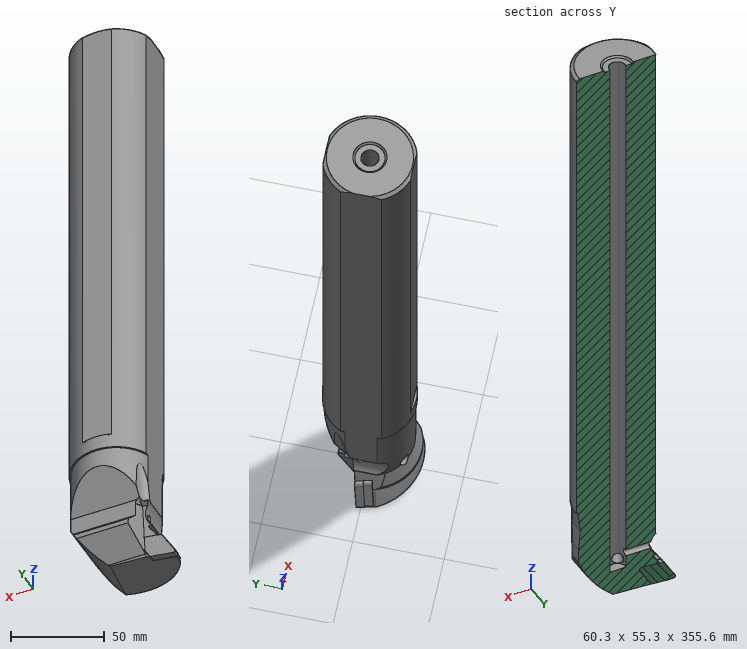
import cadquery as cq
import math


overall_length = 355.6
shank_radius = 25.4
shank_bottom_z = 64.5
side_flat_x = -22.86
clamp_flat_y = 23.9
clamp_flat_bottom_z = 73.4
top_chamfer_height = 1.4
top_chamfer_width = 2.1

neck_radius = 24.5
flare_top_z = 19.8
flare_bottom_z = 12.3
band_height = 1.7
flare_radius = 28.4
head_radius = 31.42
head_center = (-4.4, -0.64)
tip_offset = 34.91
pad_angle = 56.0
pad_setback = 0.7
flank_top = (23.9, 31.0)
flank_middle = (15.0, 14.5)
flank_bottom = (2.7, 2.0)
waist_top_z = 52.0
waist_x = 22.9
waist_bottom_z = 40.0

insert_angle = 55.0
lead_angle = 3.0
inscribed_circle = 12.7
insert_edge = inscribed_circle / math.sin(math.radians(insert_angle))
insert_thickness = 4.76
shim_thickness = 4.76
shim_setback = 0.5
nose_radius = 1.2
axial_slope = math.tan(math.radians(8.0))
radial_slope = math.tan(math.radians(6.0))
lead_slope = math.tan(math.radians(lead_angle))
underside_clearance = 0.3

gully_top = (26.0, 55.5)
gully_shoulder = (11.2, 34.2)
gully_waist = (10.1, 24.6)
wedge_top = (14.4, 20.0)
wedge_bottom = (14.4, 17.0)
gully_foot = (2.0, 3.0)
rake_pocket_width = 17.0
rake_pocket_top = 33.0
rake_pocket_taper = 30.0
relief_radius = 9.2
relief_center = (-28.9, 27.2)
flute_radius = 8.0
flute_start = cq.Vector(-27, 18.6, 58.5)
flute_end = cq.Vector(-27, 13, 33)

port_radius = 9.1
port_chamfer = 1.0
bore_radius = 4.8
bore_bottom_z = 18.0
side_outlet_radius = 3.2
side_outlet = cq.Vector(-13.0, -24.0, 21.5)
pocket_outlet_radius = 2.0
pocket_outlet = cq.Vector(-25.0, 1.1, 27.5)

margin = 5.0
big = 4 * shank_radius

tip = cq.Vector(-tip_offset, 0, 0)
rake_normal = cq.Vector(-radial_slope, 1, -axial_slope).normalized()


def seat_plane(depth):
    """Plane parallel to the rake face, its normal into the body, local X to +X and local Y up."""
    origin = tip - rake_normal * depth
    return cq.Plane(origin=origin, xDir=cq.Vector(1, radial_slope, 0), normal=rake_normal * -1)


def rhombic_plate(depth, thickness, setback):
    """Rhombic plate on the seat whose rounded nose touches the lines local X = 0 and local Y = 0."""
    lower = math.radians(lead_angle)
    upper = math.radians(lead_angle + insert_angle)
    bisector = (lower + upper) / 2
    nose_reach = nose_radius / math.sin(math.radians(insert_angle / 2))
    corner_x = setback + nose_radius - nose_reach * math.cos(bisector)
    corner_y = setback + nose_radius - nose_reach * math.sin(bisector)
    plate = (
        cq.Workplane(seat_plane(depth))
        .moveTo(corner_x, corner_y)
        .line(insert_edge * math.cos(lower), insert_edge * math.sin(lower))
        .line(insert_edge * math.cos(upper), insert_edge * math.sin(upper))
        .line(-insert_edge * math.cos(lower), -insert_edge * math.sin(lower))
        .close()
        .extrude(thickness)
    )
    return plate.edges(cq.selectors.ParallelDirSelector(rake_normal)).fillet(nose_radius)


def rod(start, end, radius):
    direction = end - start
    return cq.Workplane(cq.Solid.makeCylinder(radius, direction.Length, start, direction))


def block_above(z):
    """Large block standing on the given height, centred on the bar axis."""
    return cq.Workplane("XY").workplane(offset=z).rect(big, big).extrude(overall_length)


def make_shank():
    shank = cq.Workplane("XY").workplane(offset=shank_bottom_z)
    shank = shank.circle(shank_radius).extrude(overall_length - shank_bottom_z)
    shank = shank.faces(">Z").chamfer(top_chamfer_height, top_chamfer_width)
    for side in (-1, 1):
        flat_cutter = block_above(clamp_flat_bottom_z).translate((0, side * (clamp_flat_y + big / 2), 0))
        shank = shank.cut(flat_cutter)
    return shank


def make_neck_and_head():
    band_bottom_z = flare_bottom_z - band_height
    neck = cq.Workplane("XY").workplane(offset=flare_top_z).circle(neck_radius)
    neck = neck.extrude(shank_bottom_z - flare_top_z)
    flare = (
        cq.Workplane("XY").workplane(offset=flare_top_z).circle(neck_radius)
        .workplane(offset=flare_bottom_z - flare_top_z).circle(flare_radius)
        .loft(ruled=True)
    )
    band = cq.Workplane("XY").workplane(offset=band_bottom_z).circle(flare_radius).extrude(band_height)
    lower_head = (
        cq.Workplane("XY").workplane(offset=band_bottom_z).circle(flare_radius)
        .workplane(offset=-band_bottom_z).center(*head_center).circle(head_radius)
        .loft(ruled=True)
    )
    return neck.union(flare).union(band).union(lower_head)


def make_side_outline():
    """Prism along Y that bounds the neck and head in the XZ plane."""
    pad_foot_x = pad_setback - tip_offset
    pad_top_x = pad_foot_x + flare_top_z / math.tan(math.radians(pad_angle))
    return (
        cq.Workplane("XZ")
        .moveTo(-shank_radius, shank_bottom_z)
        .lineTo(neck_radius, shank_bottom_z)
        .lineTo(waist_x, waist_top_z)
        .lineTo(flank_top[0], waist_bottom_z)
        .lineTo(*flank_top)
        .threePointArc(flank_middle, flank_bottom)
        .lineTo(flank_bottom[0], 0)
        .lineTo(pad_foot_x, 0)
        .lineTo(pad_top_x, flare_top_z)
        .lineTo(-shank_radius, flare_top_z)
        .close()
        .extrude(big / 2, both=True)
    )


def make_underside_cutter():
    """Half-space below the head: climbs toward +X with the lead angle and toward -Y as clearance."""
    plane = cq.Plane(
        origin=tip + cq.Vector(0, 0, underside_clearance),
        xDir=cq.Vector(1, 0, lead_slope),
        normal=cq.Vector(lead_slope, -axial_slope, -1),
    )
    return cq.Workplane(plane).rect(3 * big, 3 * big).extrude(big)


def make_chip_gully():
    return (
        cq.Workplane("YZ")
        .polyline([
            gully_top, gully_shoulder, gully_waist, wedge_top, wedge_bottom, gully_foot,
            (gully_foot[0], -margin), (big / 2, -margin), (big / 2, gully_top[1]),
        ])
        .close()
        .extrude(big / 2, both=True)
    )


def make_rake_pocket():
    """Space in front of the rake face, with a leaning wall on its +X side."""
    width = rake_pocket_width + margin
    height = rake_pocket_top + margin
    return (
        cq.Workplane(seat_plane(0))
        .center(width / 2 - margin, height / 2 - margin)
        .rect(width, height)
        .extrude(-shank_radius, taper=-rake_pocket_taper)
    )


def make_coolant_channels():
    """Blind bore down the bar axis with a chamfered mouth and two level outlets."""
    bore = rod(cq.Vector(0, 0, bore_bottom_z), cq.Vector(0, 0, overall_length), bore_radius)
    mouth = cq.Workplane(cq.Solid.makeCone(
        port_radius - port_chamfer, port_radius, port_chamfer,
        pnt=cq.Vector(0, 0, overall_length - port_chamfer),
    ))
    side_channel = rod(side_outlet, cq.Vector(0, 0, side_outlet.z), side_outlet_radius)
    pocket_channel = rod(pocket_outlet, cq.Vector(0, 0, pocket_outlet.z), pocket_outlet_radius)
    return bore.union(mouth).union(side_channel).union(pocket_channel)


def make_holder(insert):
    holder = make_shank().union(make_neck_and_head())
    side_flat = block_above(flare_top_z).translate((side_flat_x - big / 2, 0, 0))
    holder = holder.cut(side_flat)
    holder = holder.intersect(make_side_outline().union(block_above(shank_bottom_z)))
    holder = holder.cut(make_underside_cutter())
    holder = holder.cut(make_chip_gully())
    holder = holder.cut(make_rake_pocket())
    relief = cq.Workplane("XZ").center(*relief_center).circle(relief_radius).extrude(shank_radius, both=True)
    holder = holder.cut(relief)
    holder = holder.cut(rod(flute_start, flute_end, flute_radius))
    holder = holder.cut(make_coolant_channels())
    shim = rhombic_plate(insert_thickness, shim_thickness, shim_setback)
    return holder.union(shim).cut(insert)


insert = rhombic_plate(0, insert_thickness, 0)
holder = make_holder(insert)

result = cq.Compound.makeCompound([*holder.vals(), insert.val()])